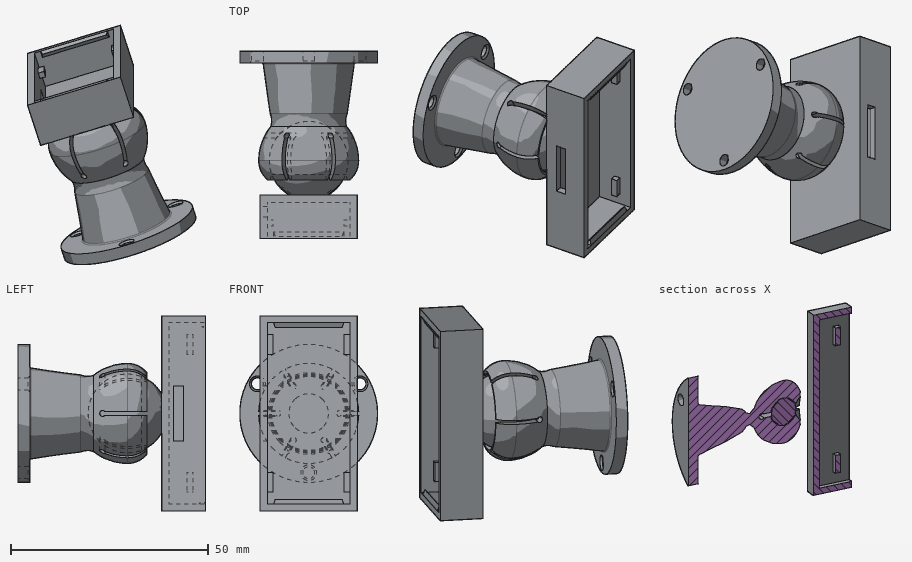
import cadquery as cq
import math


ball_radius = 10.0
ball_flat_diameter = 10.0
ball_flat_y = -math.sqrt(ball_radius**2 - (ball_flat_diameter / 2) ** 2)

socket_radius = 12.7
socket_rear_arc_radius = 13.8
socket_front_arc_radius = 6.25
socket_mouth_y = -4.9
mouth_flare_depth = 1.4
mouth_rim_width = 0.5
slit_count = 6
slit_width = 1.0
slit_end_diameter = 1.5
slit_end_y = 6.3

neck_radius = 9.8
neck_waist_radius = 9.42
neck_front_y = -ball_flat_y
neck_length = 3.3
cone_base_radius = 11.6
cone_and_neck_length = 16.1
cone_fillet_radius = 0.35

flange_diameter = 35.0
flange_thickness = 3.0
screw_count = 3
screw_circle_radius = 15.0
first_screw_angle = 30
screw_hole_diameter = 3.0
screw_head_diameter = 4.0

tray_width = 24.7
tray_height = 49.5
tray_depth = 11.1
pocket_width = 21.0
pocket_height = 46.0
pocket_depth = 9.2

stop_size = 1.5
stop_height = 5.0
stop_front_gap = 3.2
stop_centre_z = 17.45

ridge_base_length = 17.8
ridge_crest_length = 16.9
ridge_rise = 1.25
ridge_front_run = 0.6
ridge_rear_run = 1.1

window_height = 14.0
window_width = 2.6
window_front_gap = 5.55

neck_rear_y = neck_front_y + neck_length
flange_front_y = neck_front_y + cone_and_neck_length
flange_rear_y = flange_front_y + flange_thickness
tray_front_y = ball_flat_y - tray_depth


def disc(diameter, rear_y, length):
    """A cylinder on the joint axis that runs from rear_y toward -Y."""
    return cq.Workplane("XZ", origin=(0, rear_y, 0)).circle(diameter / 2).extrude(length)


def arc_drop(radius, distance):
    """How far a circle falls below its highest point at a distance along the axis."""
    return radius - math.sqrt(radius**2 - distance**2)


def socket_radius_at(y):
    """Outer radius of the socket: two arcs that meet tangentially over the ball centre."""
    arc_radius = socket_rear_arc_radius if y > 0 else socket_front_arc_radius
    return socket_radius - arc_drop(arc_radius, y)


def mount_blank():
    """Flange, cone, neck and socket turned about the joint axis."""
    blank = (
        cq.Workplane("XY")
        .moveTo(0, flange_rear_y)
        .lineTo(flange_diameter / 2, flange_rear_y)
        .lineTo(flange_diameter / 2, flange_front_y)
        .lineTo(cone_base_radius, flange_front_y)
        .lineTo(neck_radius, neck_rear_y)
        .threePointArc(
            (neck_waist_radius, (neck_rear_y + neck_front_y) / 2),
            (socket_radius_at(neck_front_y), neck_front_y),
        )
        .threePointArc(
            (socket_radius_at(neck_front_y / 2), neck_front_y / 2),
            (socket_radius, 0),
        )
        .threePointArc(
            (socket_radius_at(socket_mouth_y / 2), socket_mouth_y / 2),
            (socket_radius_at(socket_mouth_y), socket_mouth_y),
        )
        .lineTo(0, socket_mouth_y)
        .close()
        .revolve(360, (0, 0, 0), (0, 1, 0))
    )
    flange_reach = cq.Vector(flange_diameter, cone_fillet_radius, flange_diameter)
    flange_centre = cq.Vector(0, flange_front_y, 0)
    on_flange_front = cq.selectors.BoxSelector(
        (flange_centre - flange_reach).toTuple(),
        (flange_centre + flange_reach).toTuple(),
        boundingbox=True,
    )
    cone_base = cq.selectors.RadiusNthSelector(0)
    return blank.edges(on_flange_front).edges(cone_base).fillet(cone_fillet_radius)


def socket_slit(angle):
    """One radial slit with a round end, cut outward from the joint axis."""
    slit_length = slit_end_y - socket_mouth_y
    slit = (
        cq.Workplane("XY")
        .box(socket_radius, slit_length, slit_width, centered=(False, False, True))
        .translate((0, socket_mouth_y, 0))
    )
    round_end = (
        cq.Workplane("YZ").center(slit_end_y, 0).circle(slit_end_diameter / 2).extrude(socket_radius)
    )
    return slit.union(round_end).rotate((0, 0, 0), (0, 1, 0), angle)


def screw_hole(angle):
    """A countersunk screw hole through the flange."""
    sink_depth = (screw_head_diameter - screw_hole_diameter) / 2
    hole = disc(screw_hole_diameter, flange_rear_y, flange_thickness)
    sink = (
        cq.Workplane("XZ", origin=(0, flange_front_y, 0))
        .circle(screw_head_diameter / 2)
        .workplane(offset=-sink_depth)
        .circle(screw_hole_diameter / 2)
        .loft()
    )
    across = screw_circle_radius * math.cos(math.radians(angle))
    up = screw_circle_radius * math.sin(math.radians(angle))
    return hole.union(sink).translate((across, 0, up))


def ball_cavity():
    """Spherical seat for the ball with a conical flare at the mouth."""
    flare_y = socket_mouth_y + mouth_flare_depth
    seat = cq.Workplane("XY").sphere(ball_radius)
    flare = (
        cq.Workplane("XZ", origin=(0, flare_y, 0))
        .circle(math.sqrt(ball_radius**2 - flare_y**2))
        .workplane(offset=mouth_flare_depth)
        .circle(socket_radius_at(socket_mouth_y) - mouth_rim_width)
        .loft()
    )
    return seat.union(flare)


def build_mount():
    mount = mount_blank().cut(ball_cavity())
    for index in range(slit_count):
        mount = mount.cut(socket_slit(index * 360 / slit_count))
    for index in range(screw_count):
        mount = mount.cut(screw_hole(first_screw_angle + index * 360 / screw_count))
    return mount


def stop(side, end):
    """A small block on a long pocket wall; side and end are -1 or 1."""
    return cq.Workplane("XY").box(stop_size, stop_size, stop_height).translate(
        (
            side * (pocket_width - stop_size) / 2,
            tray_front_y + stop_front_gap + stop_size / 2,
            end * stop_centre_z,
        )
    )


def snap_ridge():
    """Triangular ridge with sloped ends along the lower short wall, starting at the opening."""
    wall_z = -pocket_height / 2
    front_y = tray_front_y
    rear_y = tray_front_y + ridge_front_run + ridge_rear_run
    bar = (
        cq.Workplane("YZ")
        .polyline([
            (front_y, wall_z),
            (front_y + ridge_front_run, wall_z + ridge_rise),
            (rear_y, wall_z),
        ])
        .close()
        .extrude(ridge_base_length / 2, both=True)
    )
    end_trim = (
        cq.Workplane("XZ", origin=(0, rear_y, 0))
        .polyline([
            (-ridge_base_length / 2, wall_z),
            (ridge_base_length / 2, wall_z),
            (ridge_crest_length / 2, wall_z + ridge_rise),
            (-ridge_crest_length / 2, wall_z + ridge_rise),
        ])
        .close()
        .extrude(rear_y - front_y)
    )
    return bar.intersect(end_trim)


def tray_window():
    """Cutter for the window through the -X wall."""
    wall = (tray_width - pocket_width) / 2
    return cq.Workplane("XY").box(wall, window_width, window_height).translate(
        (
            -(tray_width - wall) / 2,
            tray_front_y + window_front_gap + window_width / 2,
            0,
        )
    )


def build_tray():
    tray = (
        cq.Workplane("XZ", origin=(0, ball_flat_y, 0))
        .rect(tray_width, tray_height)
        .extrude(tray_depth)
        .faces("<Y")
        .workplane()
        .rect(pocket_width, pocket_height)
        .cutBlind(-pocket_depth)
    )
    tray = tray.cut(tray_window())
    for side in (-1, 1):
        for end in (-1, 1):
            tray = tray.union(stop(side, end))
    lower_ridge = snap_ridge()
    tray = tray.union(lower_ridge).union(lower_ridge.mirror("XY"))
    ball_side = disc(2 * ball_radius, ball_radius, ball_radius - ball_flat_y)
    ball = cq.Workplane("XY").sphere(ball_radius).intersect(ball_side)
    return tray.union(ball)


mount = build_mount()
tray = build_tray()

result = cq.Compound.makeCompound([mount.solids().val(), tray.solids().val()])